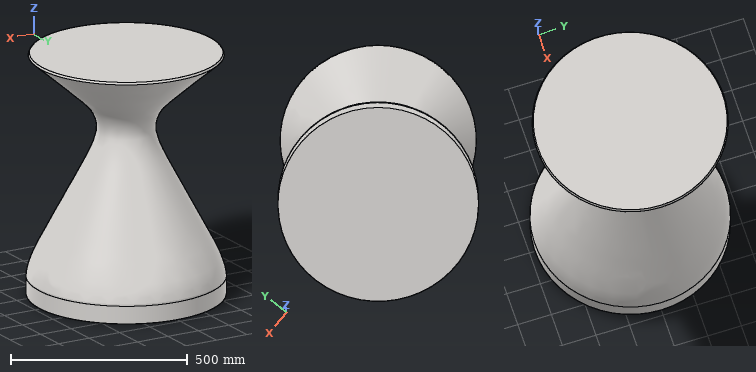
import cadquery as cq

total_height = 716.0
base_diameter = 568.0
base_radius = base_diameter / 2
base_height = 53.0

foot_band_height = 5.0
foot_band_top = base_height + foot_band_height
waist_radius = 84.5
waist_height = 500.0
rim_radius = 278.0
rim_bevel_width = 3.5
rim_bevel_height = 6.5
rim_height = total_height - rim_bevel_height

bell_points = [
    (273.5, 98.0),
    (243.0, 163.0),
    (174.0, 293.5),
    (106.0, 424.0),
]
flare_points = [
    (95.0, 538.5),
    (150.0, 598.0),
    (223.5, 663.0),
]


def make_base():
    """Plain round plate that the pedestal stands on."""
    return cq.Workplane("XY").circle(base_radius).extrude(base_height)


def make_pedestal():
    """Solid of revolution: bell-shaped foot, narrow waist and flared flat top."""
    side_points = [
        *bell_points,
        (waist_radius, waist_height),
        *flare_points,
        (rim_radius, rim_height),
    ]
    profile = (
        cq.Workplane("XZ")
        .moveTo(0, base_height)
        .lineTo(base_radius, base_height)
        .lineTo(base_radius, foot_band_top)
        .spline(side_points, includeCurrent=True)
        .lineTo(rim_radius - rim_bevel_width, total_height)
        .lineTo(0, total_height)
        .close()
    )
    return profile.revolve(360, (0, 0, 0), (0, 1, 0))


base = make_base()
pedestal = make_pedestal()

result = cq.Compound.makeCompound([base.val(), pedestal.val()])